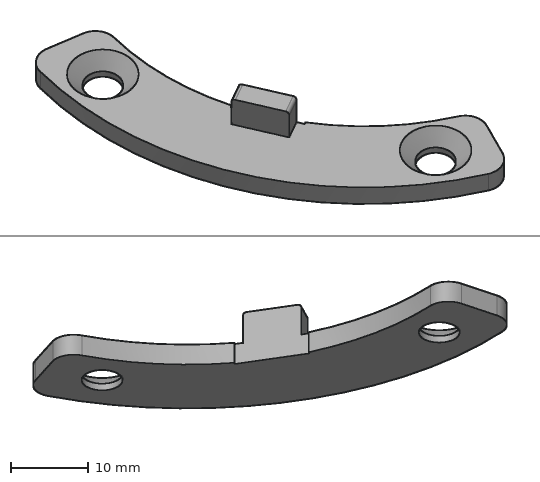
import cadquery as cq
import math

outer_radius = 51.5
inner_radius = 39.95
thickness = 3.0
corner_radius = 3.0

end_angle = 40.0

hole_x = 22.7
hole_y = -39.3
hole_diameter = 5.3
countersink_diameter = 9.3
countersink_angle = 90.0

tab_width = 7.9
tab_depth = 3.05
total_height = 7.5
tab_fillet = 0.5
tab_back_y = -inner_radius
flat_width = 10.05


def end_point(radius, side):
    """Point where an end face meets an arc; side is -1 for left and 1 for right."""
    angle = math.radians(end_angle)
    return (side * radius * math.sin(angle), -radius * math.cos(angle))


def make_plate():
    plate = (
        cq.Workplane("XY")
        .moveTo(*end_point(outer_radius, -1))
        .threePointArc((0, -outer_radius), end_point(outer_radius, 1))
        .lineTo(*end_point(inner_radius, 1))
        .threePointArc((0, -inner_radius), end_point(inner_radius, -1))
        .close()
        .extrude(thickness)
    )
    return plate.edges("|Z").fillet(corner_radius)


def cut_flat(plate):
    cutter = (
        cq.Workplane("XY")
        .center(0, tab_back_y / 2)
        .rect(flat_width, -tab_back_y)
        .extrude(thickness)
    )
    return plate.cut(cutter)


def cut_screw_holes(plate):
    return (
        plate.faces(">Z")
        .workplane(origin=(0, 0, thickness))
        .pushPoints([(-hole_x, hole_y), (hole_x, hole_y)])
        .cskHole(hole_diameter, countersink_diameter, countersink_angle)
    )


def make_tab():
    tab = (
        cq.Workplane("XY")
        .center(0, tab_back_y - tab_depth / 2)
        .rect(tab_width, tab_depth)
        .extrude(total_height)
    )
    return tab.edges(">Z and |Y").fillet(tab_fillet)


result = cut_screw_holes(cut_flat(make_plate())).union(make_tab())